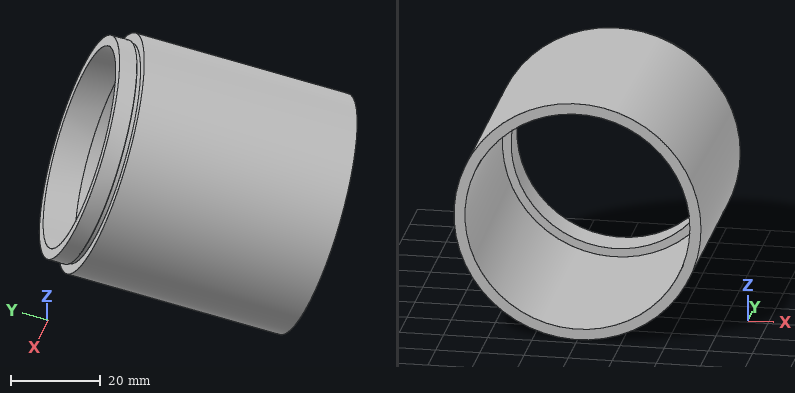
import cadquery as cq

outer_diameter = 56.0
total_length = 55.8

spigot_diameter = 52.1
spigot_length = 4.15
groove_diameter = 51.2
groove_width = 1.0

front_bore_diameter = 50.95
rear_bore_diameter = 47.05
body_length = total_length - spigot_length - groove_width
rear_wall = (outer_diameter - front_bore_diameter) / 2
front_bore_depth = body_length - rear_wall

front_y = -total_length / 2


def cylinder(diameter, start, length):
    """Cylinder along +Y, starting at a distance behind the front face."""
    base = cq.Workplane("XZ", origin=(0, front_y + start, 0))
    return base.circle(diameter / 2).extrude(-length)


body = cylinder(outer_diameter, 0, body_length)
groove_core = cylinder(groove_diameter, body_length, groove_width)
spigot = cylinder(spigot_diameter, body_length + groove_width, spigot_length)
rear_bore = cylinder(rear_bore_diameter, 0, total_length)
front_bore = cylinder(front_bore_diameter, 0, front_bore_depth)

result = body.union(groove_core).union(spigot).cut(rear_bore).cut(front_bore)